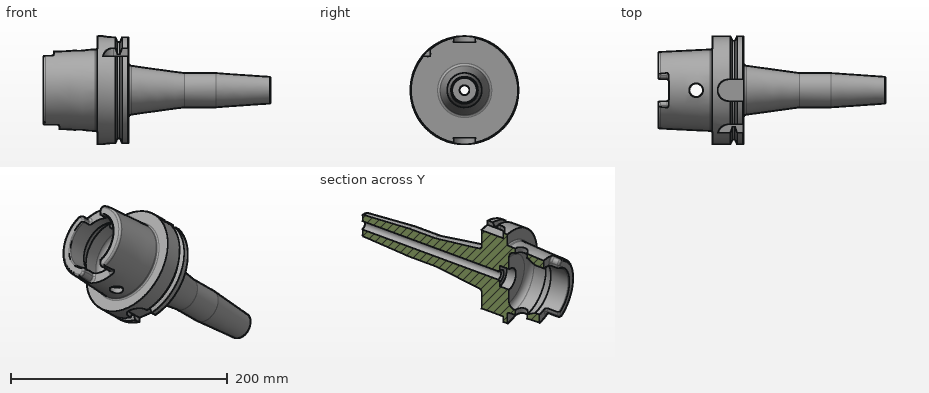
import cadquery as cq
import math


total_length = 210.0
taper_end = 47.5
flange_start = 50.0
flange_end = 79.0
neck_end = 130.0
nose_start = 159.0

taper_radius = 37.7
taper_slope = 0.05
flange_radius = 50.0
neck_root_radius = 22.7
neck_radius = 16.0
nose_radius = 12.5

small_round = 2.0
collar_round = 1.3
neck_round = 2.3
flange_chamfer = 0.74
nose_chamfer = 1.3

groove_center = 69.7
groove_mouth = 6.3
groove_floor_width = 2.3
groove_floor_radius = 45.68

bore_radius = 26.5
bore_mouth_round = 1.0
bore_length = 19.7
clamp_radius = 31.5
clamp_angle = 30.0
cavity_depth = 48.3
cavity_floor_round = 6.3

counterbore_diameter = 22.5
counterbore_depth = 10.0
countersink_diameter = 12.4
through_diameter = 8.8

radial_hole_diameter = 12.4
radial_hole_x = 35.0

slot_width = 20.0
upper_slot_depth = 9.98
lower_slot_depth = 15.0
slot_shoulder_height = 32.0
slot_edge_round = 4.0

tool_radius = slot_width / 2
notch_center_x = 64.9
notch_floor = 44.0
corner_notch_floor = 31.0
corner_notch_wall = 31.5


def turned_body():
    """Solid of revolution: shank, flange with groove, neck and nose."""
    tip_radius = taper_radius - taper_slope * taper_end
    mouth = groove_mouth / 2
    floor = groove_floor_width / 2
    shank = (
        cq.Workplane("XY")
        .polyline([(0, 0), (0, tip_radius), (taper_end, taper_radius), (taper_end, 0)])
        .close()
        .revolve(360, (0, 0, 0), (1, 0, 0))
        .faces("<X")
        .edges()
        .fillet(small_round)
    )
    collar_start = flange_start - collar_round
    holder = (
        cq.Workplane("XY")
        .moveTo(taper_end, 0)
        .lineTo(taper_end, taper_radius)
        .lineTo(collar_start, taper_radius)
        .radiusArc((flange_start, taper_radius + collar_round), -collar_round)
        .lineTo(flange_start, flange_radius)
        .lineTo(groove_center - mouth, flange_radius)
        .lineTo(groove_center - floor, groove_floor_radius)
        .lineTo(groove_center + floor, groove_floor_radius)
        .lineTo(groove_center + mouth, flange_radius)
        .lineTo(flange_end - flange_chamfer, flange_radius)
        .lineTo(flange_end, flange_radius - flange_chamfer)
        .lineTo(flange_end, neck_root_radius + neck_round)
        .radiusArc((flange_end + neck_round, neck_root_radius), -neck_round)
        .lineTo(neck_end, neck_radius)
        .lineTo(nose_start, neck_radius)
        .lineTo(total_length - nose_chamfer, nose_radius)
        .lineTo(total_length, nose_radius - nose_chamfer)
        .lineTo(total_length, 0)
        .close()
        .revolve(360, (0, 0, 0), (1, 0, 0))
    )
    return shank.union(holder)


def cavity():
    """Clamping cavity and the stepped hole that runs on to the nose."""
    shoulder = (clamp_radius - bore_radius) / math.tan(math.radians(clamp_angle))
    step_x = cavity_depth + counterbore_depth
    countersink = (countersink_diameter - through_diameter) / 2
    return (
        cq.Workplane("XY")
        .lineTo(0, bore_radius + bore_mouth_round)
        .radiusArc((bore_mouth_round, bore_radius), -bore_mouth_round)
        .lineTo(bore_length, bore_radius)
        .lineTo(bore_length + shoulder, clamp_radius)
        .lineTo(cavity_depth - cavity_floor_round, clamp_radius)
        .radiusArc((cavity_depth, clamp_radius - cavity_floor_round), cavity_floor_round)
        .lineTo(cavity_depth, counterbore_diameter / 2)
        .lineTo(step_x, counterbore_diameter / 2)
        .lineTo(step_x, countersink_diameter / 2)
        .lineTo(step_x + countersink, through_diameter / 2)
        .lineTo(total_length, through_diameter / 2)
        .lineTo(total_length, 0)
        .close()
        .revolve(360, (0, 0, 0), (1, 0, 0))
    )


def slot_outline_edges(x):
    """Selector for the slot outline lying in the plane at x."""
    reach = 0.9 * taper_radius
    return cq.selectors.BoxSelector((x - 0.2, -reach, 0.2), (x + 0.2, reach, reach))


def key_slot(depth):
    """Slot cutter open towards +Z, with flaring upper edges and a rounded entry and end."""
    half = slot_width / 2
    flare = half + slot_edge_round
    arc_start = slot_shoulder_height - slot_edge_round
    side = taper_radius
    top = flange_radius
    slot = (
        cq.Workplane("YZ")
        .lineTo(half, 0)
        .lineTo(half, arc_start)
        .radiusArc((flare, slot_shoulder_height), slot_edge_round)
        .lineTo(side, slot_shoulder_height)
        .lineTo(side, top)
        .lineTo(-side, top)
        .lineTo(-side, slot_shoulder_height)
        .lineTo(-flare, slot_shoulder_height)
        .radiusArc((-half, arc_start), slot_edge_round)
        .lineTo(-half, 0)
        .close()
        .extrude(depth)
    )
    entry_plate = cq.Workplane("YZ").center(0, top / 2).rect(2 * side, top).extrude(-2 * small_round)
    return (
        slot.union(entry_plate)
        .edges(slot_outline_edges(0) + slot_outline_edges(depth))
        .fillet(small_round)
    )


def drive_notch(center_y, floor):
    """Round-ended notch cutter open towards +X and +Z."""
    height = flange_radius - floor
    base = cq.Workplane("XY", origin=(0, center_y, floor))
    round_end = base.center(notch_center_x, 0).circle(tool_radius).extrude(height)
    run_out = flange_end - notch_center_x
    straight = (
        base.center(notch_center_x + run_out / 2, 0)
        .rect(run_out, 2 * tool_radius)
        .extrude(height)
    )
    return round_end.union(straight)


def half_turn(shape):
    return shape.rotate((0, 0, 0), (1, 0, 0), 180)


body = turned_body()
body = body.cut(key_slot(upper_slot_depth))
body = body.cut(half_turn(key_slot(lower_slot_depth)))
body = body.cut(cavity())

radial_hole = (
    cq.Workplane("XY")
    .center(radial_hole_x, 0)
    .circle(radial_hole_diameter / 2)
    .extrude(flange_radius, both=True)
)
body = body.cut(radial_hole)

upper_notch = drive_notch(0, notch_floor)
corner_notch = drive_notch(-corner_notch_wall - tool_radius, corner_notch_floor)
for notch in (upper_notch, half_turn(upper_notch), corner_notch):
    body = body.cut(notch)

result = body